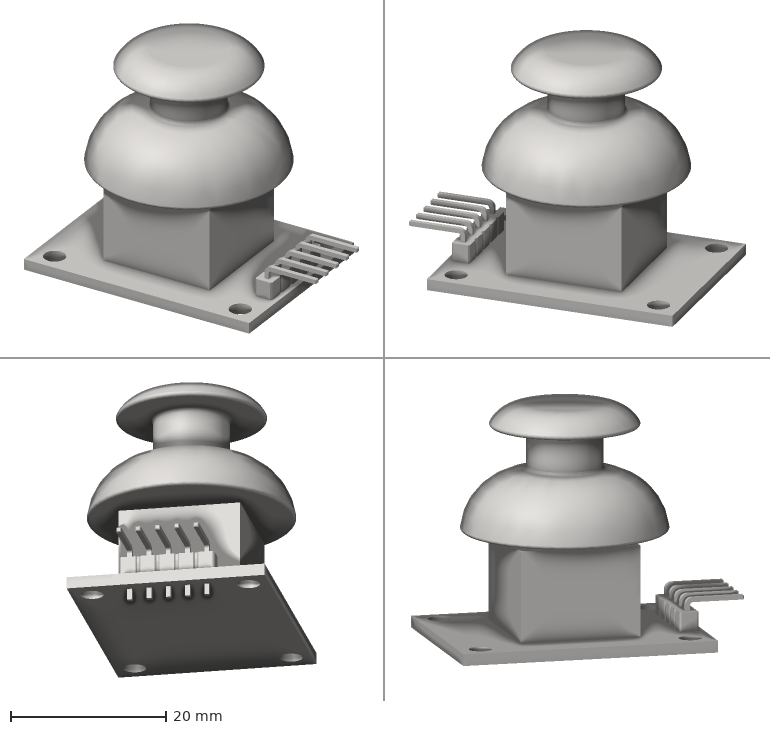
import cadquery as cq
import math


board_length = 34.0
board_width = 26.0
board_thickness = 1.55
hole_diameter = 3.0
hole_inset_x = 3.0
hole_inset_y = 2.72

block_side = 16.0
block_height = 12.0
stick_side = 2.0
stick_height = 1.0

dome_radius = 13.55
dome_height = 8.0
neck_radius = 10.0 / 2
neck_length = 5.6
neck_fillet = 0.47
disc_radius = 10.0
disc_flat_radius = 5.5
disc_height = 3.0
rim_fillet = 0.4

pin_count = 5
pin_row_span = 10.15
pin_side = 0.65
pin_row_inset = 2.0
pin_tail = 1.45
pin_arm_height = 4.0
pin_bend_radius = 0.67
pin_tip_chamfer = 0.1
pin_overhang = 5.5
header_width = 2.5
header_height = 2.53
header_bevel = 0.2
header_gap = 0.28

block_top = board_thickness + block_height
cap_bottom = block_top + stick_height
pin_row_x = board_length / 2 - pin_row_inset
pin_pitch = pin_row_span / (pin_count - 1)
header_length = pin_count * pin_pitch - header_gap
pin_places = [(i - (pin_count - 1) / 2) * pin_pitch for i in range(pin_count)]


def make_board():
    """Board with four mounting holes and a square hole for each pin."""
    board = cq.Workplane("XY").box(
        board_length, board_width, board_thickness, centered=(True, True, False)
    )
    hole_spacing_x = board_length - 2 * hole_inset_x
    hole_spacing_y = board_width - 2 * hole_inset_y
    board = (
        board.faces(">Z").workplane()
        .rect(hole_spacing_x, hole_spacing_y, forConstruction=True).vertices()
        .hole(hole_diameter)
    )
    return board.cut(pin_holes(0, board_thickness))


def pin_holes(bottom, height):
    """Square prisms that clear the pins between two levels."""
    return (
        cq.Workplane("XY", origin=(pin_row_x, 0, bottom))
        .pushPoints([(0, y) for y in pin_places])
        .rect(pin_side, pin_side).extrude(height)
    )


def make_joystick():
    """Square block with the stick that carries the cap."""
    block_base = cq.Workplane("XY", origin=(0, 0, board_thickness))
    block = block_base.rect(block_side, block_side).extrude(block_height)
    stick_base = cq.Workplane("XY", origin=(0, 0, block_top))
    stick = stick_base.rect(stick_side, stick_side).extrude(stick_height)
    return block.union(stick)


def crown(rim_radius, flat_radius, height):
    """Crown whose flank is an arc that leaves the flat top tangentially and ends at the rounded rim."""
    flank_run = rim_radius - flat_radius
    flank_radius = (flank_run**2 + height**2) / (2 * height)
    profile = (
        cq.Workplane("XZ")
        .lineTo(rim_radius, 0)
        .radiusArc((flat_radius, height), -flank_radius)
        .lineTo(0, height)
        .close()
    )
    return profile.revolve(360, (0, 0), (0, 1)).faces("<Z").edges().fillet(rim_fillet)


def make_cap():
    """Thumb cap: dome, neck and disc in one piece, resting on the stick."""
    disc_bottom = dome_height + neck_length
    dome = crown(dome_radius, neck_radius, dome_height)
    neck = cq.Workplane("XY", origin=(0, 0, dome_height)).circle(neck_radius).extrude(neck_length)
    disc = crown(disc_radius, disc_flat_radius, disc_height).translate((0, 0, disc_bottom))
    cap = dome.union(neck).union(disc)
    cap = cap.faces("%CYLINDER").edges("%CIRCLE").fillet(neck_fillet)
    return cap.translate((0, 0, cap_bottom))


def header_block(width, length):
    """Block of header height, centred in the pin row and standing on the board."""
    base = cq.Workplane("XY", origin=(pin_row_x, 0, board_thickness))
    return base.rect(width, length).extrude(header_height)


def make_header():
    """Header strip: one bevelled segment per pin, joined by a narrower core that leaves notches."""
    header = header_block(header_width - 2 * header_bevel, header_length)
    for y in pin_places:
        segment = header_block(header_width, pin_pitch - header_gap)
        header = header.union(segment.edges("|Z").chamfer(header_bevel).translate((0, y, 0)))
    return header.cut(pin_holes(board_thickness, header_height))


def make_pin(y):
    """Square pin: straight up through board and header, then bent toward +X."""
    arm_z = board_thickness + pin_arm_height
    bend_start = arm_z - pin_bend_radius
    slant = pin_bend_radius * math.sqrt(0.5)
    bend_middle = (pin_row_x + pin_bend_radius - slant, bend_start + slant)
    path = (
        cq.Workplane("XZ", origin=(0, y, 0))
        .moveTo(pin_row_x, -pin_tail)
        .lineTo(pin_row_x, bend_start)
        .threePointArc(bend_middle, (pin_row_x + pin_bend_radius, arm_z))
        .lineTo(board_length / 2 + pin_overhang, arm_z)
    )
    pin = cq.Workplane("XY", origin=(pin_row_x, y, -pin_tail)).rect(pin_side, pin_side).sweep(path)
    return pin.faces(">X").chamfer(pin_tip_chamfer)


board = make_board()
joystick = make_joystick()
cap = make_cap()
header = make_header()
pins = [make_pin(y) for y in pin_places]

result = cq.Compound.makeCompound(
    [board.val(), joystick.val(), cap.val(), header.val(), *[pin.val() for pin in pins]]
)